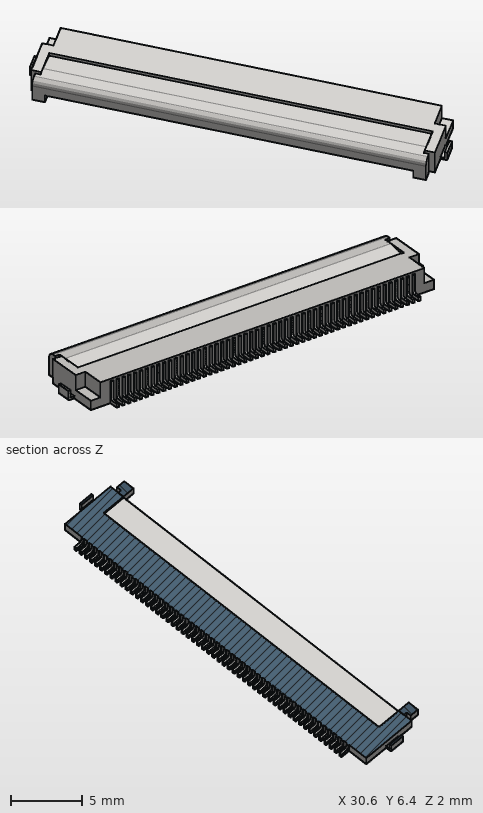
import cadquery as cq

total_width = 30.6
total_depth = 6.4
height = 2.0

housing_width = 29.6
housing_front = 1.0
housing_back = 5.63
corner_notch_width = 0.83
corner_notch_front = 3.8
corner_notch_floor = 0.75

cable_slot_width = 27.0
cable_slot_floor = 0.58
cable_slot_top = 0.75

head_width = 28.85
head_back = 0.75
head_radius = 0.5
slider_bottom = 0.1
tongue_width = 28.1
tongue_back = 3.0
slope_front = 1.4
slope_drop = 0.28

contact_count = 53
contact_row_length = 26.0
contact_pitch = contact_row_length / (contact_count - 1)
contact_width = 0.208
foot_thickness = 0.3
riser_thickness = 0.1
riser_top = 1.8
contact_bend_radius = 0.15

bracket_front = 2.42
bracket_back = 3.6
bracket_height = 0.75
bracket_thickness = 0.2
bracket_bend_radius = 0.1


def block(width, front, back, bottom, top, center_x=0):
    """Box centred on center_x that spans the given Y and Z ranges."""
    box = cq.Workplane("XY").box(width, back - front, top - bottom, centered=(True, False, False))
    return box.translate((center_x, front, bottom))


def side_prism(points, width):
    """Closed outline of (y, z) points, extruded to both sides of X = 0."""
    return cq.Workplane("YZ").polyline(points).close().extrude(width / 2, both=True)


def make_tongue():
    """Sliding plate whose top slopes down toward the back."""
    outline = [
        (head_back, cable_slot_top),
        (tongue_back, cable_slot_top),
        (tongue_back, height - slope_drop),
        (slope_front, height),
        (head_back, height),
    ]
    return side_prism(outline, tongue_width)


def make_slider():
    """Rounded front bar with a tongue; two legs straddle the cable slot."""
    head = block(head_width, 0, head_back, slider_bottom, height)
    head = head.edges("|X and <Y and >Z").fillet(head_radius)
    neck = block(tongue_width, head_back, housing_front, slider_bottom, height)
    cable_opening = block(cable_slot_width, 0, housing_front, slider_bottom, cable_slot_top)
    return head.union(neck).cut(cable_opening).union(make_tongue())


def make_contact():
    """Solder foot with a thin riser up the back of the housing."""
    riser_back = housing_back + riser_thickness
    outline = [
        (housing_back, 0),
        (total_depth, 0),
        (total_depth, foot_thickness),
        (riser_back, foot_thickness),
        (riser_back, riser_top),
        (housing_back, riser_top),
    ]
    contact = side_prism(outline, contact_width)
    inner_bend = cq.selectors.NearestToPointSelector((0, riser_back, foot_thickness))
    return contact.edges(inner_bend).fillet(contact_bend_radius)


def make_bracket():
    """Metal strip across the underside with both ends bent up beside the housing."""
    strip = block(total_width, bracket_front, bracket_back, 0, bracket_height)
    strip = strip.edges("|Y and <Z").fillet(bracket_bend_radius)
    inner_width = total_width - 2 * bracket_thickness
    return strip.cut(block(inner_width, bracket_front, bracket_back, bracket_thickness, bracket_height))


def make_housing():
    """Housing with its row of contacts and the recesses for slider, cable and bracket."""
    body = block(housing_width, housing_front, housing_back, 0, height)

    body = body.cut(block(tongue_width, housing_front, tongue_back, cable_slot_top, height))
    body = body.cut(block(cable_slot_width, housing_front, tongue_back, cable_slot_floor, cable_slot_top))

    body = body.cut(block(housing_width, bracket_front, bracket_back, 0, bracket_thickness))

    for side in (-1, 1):
        notch_x = side * (housing_width - corner_notch_width) / 2
        notch = block(corner_notch_width, corner_notch_front, housing_back, corner_notch_floor, height, notch_x)
        body = body.cut(notch)

    contact = make_contact()
    for index in range(contact_count):
        contact_x = index * contact_pitch - contact_row_length / 2
        body = body.union(contact.translate((contact_x, 0, 0)))
    return body


housing = make_housing()
slider = make_slider()
bracket = make_bracket()

result = cq.Compound.makeCompound([housing.val(), slider.val(), bracket.val()])